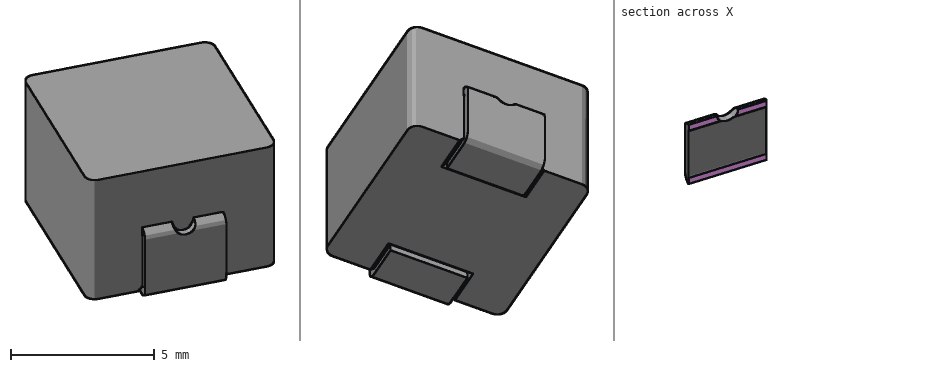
import cadquery as cq
import math

overall_length = 7.7
overall_height = 5.15

body_width = 7.0
body_height = 5.005
body_corner_radius = 0.385

strip_width = 3.0
strip_thickness = 0.3
terminal_height = 2.8
foot_length = 1.285
notch_radius = 0.4

seat_margin = 0.15
seat_taper_angle = 45.0

half_body = body_width / 2
terminal_reach = overall_length / 2 - half_body
inner_bend_radius = terminal_reach - strip_thickness
foot_drop = overall_height - body_height
seat_depth = strip_thickness - foot_drop


def make_body():
    block = cq.Workplane("XY").box(body_width, body_width, body_height, centered=(True, True, False))
    return block.edges("|Z").fillet(body_corner_radius)


def make_seat():
    """Sloped-wall pocket on the -X side, running out through the side face."""
    length = foot_length + 2 * seat_margin + terminal_reach
    width = strip_width + 2 * seat_margin
    center_x = -half_body + foot_length + seat_margin - length / 2
    return (
        cq.Workplane("XY")
        .center(center_x, 0)
        .rect(length, width)
        .extrude(seat_depth, taper=seat_taper_angle)
    )


def make_terminal():
    """C-shaped strip on the -X side: foot, lower bend, upright, upper bend with notch."""
    wall_x = -half_body
    foot_end_x = wall_x + foot_length
    bottom_z = -foot_drop
    top_z = bottom_z + terminal_height
    lower_bend_z = bottom_z + terminal_reach
    upper_bend_z = top_z - terminal_reach
    diagonal = math.sqrt(0.5)

    def bend_point(center_z, radius, direction):
        """Middle of a quarter bend; direction is +1 for the upper bend, -1 for the lower."""
        return (wall_x - radius * diagonal, center_z + direction * radius * diagonal)

    strip = (
        cq.Workplane("XZ")
        .moveTo(foot_end_x, bottom_z)
        .lineTo(wall_x, bottom_z)
        .threePointArc(
            bend_point(lower_bend_z, terminal_reach, -1), (wall_x - terminal_reach, lower_bend_z)
        )
        .lineTo(wall_x - terminal_reach, upper_bend_z)
        .threePointArc(bend_point(upper_bend_z, terminal_reach, 1), (wall_x, top_z))
        .lineTo(wall_x, top_z - strip_thickness)
        .threePointArc(
            bend_point(upper_bend_z, inner_bend_radius, 1), (wall_x - inner_bend_radius, upper_bend_z)
        )
        .lineTo(wall_x - inner_bend_radius, lower_bend_z)
        .threePointArc(
            bend_point(lower_bend_z, inner_bend_radius, -1), (wall_x, bottom_z + strip_thickness)
        )
        .lineTo(foot_end_x, bottom_z + strip_thickness)
        .close()
        .extrude(strip_width / 2, both=True)
    )
    notch = (
        cq.Workplane("YZ", origin=(wall_x, 0, 0))
        .center(0, top_z)
        .circle(notch_radius)
        .extrude(-terminal_reach)
    )
    return strip.cut(notch)


result = make_body()
seat = make_seat()
terminal = make_terminal()
for side_angle in (0, 180):
    turned_seat = seat.rotate((0, 0, 0), (0, 0, 1), side_angle)
    turned_terminal = terminal.rotate((0, 0, 0), (0, 0, 1), side_angle)
    result = result.cut(turned_seat).union(turned_terminal)